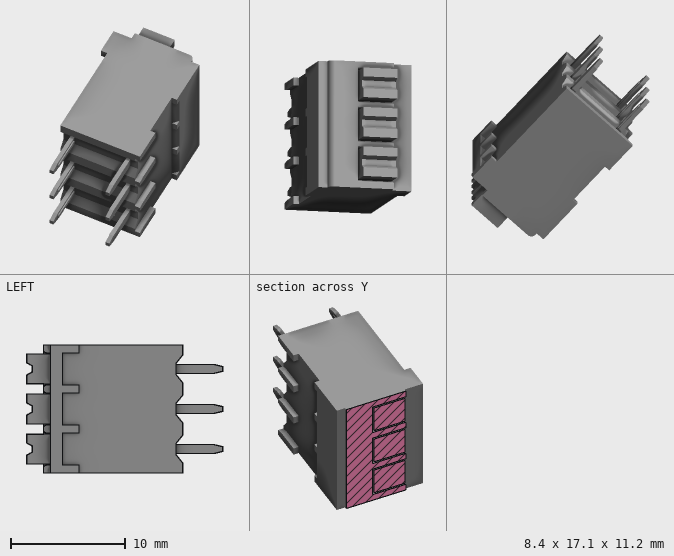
import cadquery as cq


pole_count = 3
pole_pitch = 3.5
total_height = 11.2
pole_centres = [(pole - (pole_count - 1) / 2) * pole_pitch for pole in range(pole_count)]
half_height = total_height / 2

total_length = 17.15
housing_bottom_y = 3.5
groove_floor_y = 4.08
shoulder_y = 15.04
crown_top_y = 15.68

total_width = 8.4
body_left_x = 0.62
side_recess_floor_x = 7.9

flange_bar_y = 14.01
flange_finger_y = 12.59
flange_window_width = 2.81

crown_left_x = 1.77
crown_right_x = 7.61
crown_corner_radius = 0.5

slot_width = flange_window_width
slot_edge_drop = 0.3
slot_edge_flare = 0.17
lever_left_x = 1.85
lever_right_x = 4.92
lever_clearance = lever_left_x - crown_left_x
lever_width = 2.62
lever_notch_depth = 0.48
lever_notch_mouth = 1.06
lever_notch_floor = 0.53

groove_mouth = 2.44
groove_floor = 1.0

cross_notch_start_y = 6.52
cross_notch_end_y = 10.65
channel_mouth = 3.07
channel_width = flange_window_width
lead_in_end_y = 4.18

pin_thickness = 0.38
pin_width = 0.8
pin_tip_width = 0.41
pin_taper_length = 0.79
left_pin_x = 1.53
right_pin_x = 7.0
bead_width = 0.36
bead_height = 0.1
bead_start_y = 0.8
bead_end_y = 3.96


def box(x0, x1, y0, y1, z0, z1):
    """Box between two opposite corners."""
    return cq.Workplane("XY").box(x1 - x0, y1 - y0, z1 - z0, centered=False).translate((x0, y0, z0))


def prism_along_x(points, x0, x1):
    """Straight-sided prism along X from (y, z) outline points."""
    return cq.Workplane("YZ").workplane(offset=x0).polyline(points).close().extrude(x1 - x0)


def trapezoid(y0, width0, y1, width1, z):
    """Outline in (y, z) that changes from width0 at y0 to width1 at y1."""
    return [
        (y0, z - width0 / 2),
        (y1, z - width1 / 2),
        (y1, z + width1 / 2),
        (y0, z + width0 / 2),
    ]


def make_body():
    body = box(body_left_x, total_width, housing_bottom_y, shoulder_y, -half_height, half_height)
    crown = box(crown_left_x, crown_right_x, shoulder_y, crown_top_y, -half_height, half_height)
    crown = crown.edges("|Z and >X and >Y").fillet(crown_corner_radius)
    flange = box(0, body_left_x, flange_finger_y, shoulder_y, -half_height, half_height)
    for z in pole_centres:
        half = flange_window_width / 2
        flange = flange.cut(box(0, body_left_x, flange_finger_y, flange_bar_y, z - half, z + half))
    return body.union(crown).union(flange)


def make_lever_slot(z):
    """Slot through the -X side of the crown, with its mouth flared by arcs."""
    half = slot_width / 2
    flare_start_y = crown_top_y - slot_edge_drop
    slot_right_x = lever_right_x + lever_clearance
    lower_half = (
        cq.Workplane("YZ")
        .workplane(offset=crown_left_x)
        .moveTo(shoulder_y, z - half)
        .lineTo(flare_start_y, z - half)
        .tangentArcPoint((crown_top_y, z - half - slot_edge_flare), relative=False)
        .lineTo(crown_top_y, z)
        .lineTo(shoulder_y, z)
        .close()
        .extrude(slot_right_x - crown_left_x)
    )
    return lower_half.union(lower_half.mirror("XY", (0, 0, z)))


def make_lever(z):
    half = lever_width / 2
    lever = box(lever_left_x, lever_right_x, shoulder_y, total_length, z - half, z + half)
    notch = trapezoid(total_length - lever_notch_depth, lever_notch_floor, total_length, lever_notch_mouth, z)
    return lever.cut(prism_along_x(notch, lever_left_x, lever_right_x))


def make_pin_groove(z):
    outline = trapezoid(housing_bottom_y, groove_mouth, groove_floor_y, groove_floor, z)
    return prism_along_x(outline, body_left_x, total_width)


def make_side_channel(z):
    """Channel in the +X side with a flared lead-in, which ramps out at 45 degrees past the cross notch."""
    lead_in = prism_along_x(
        trapezoid(housing_bottom_y, channel_mouth, lead_in_end_y, channel_width, z),
        side_recess_floor_x,
        total_width,
    )
    ramp_length = total_width - side_recess_floor_x
    channel = (
        cq.Workplane("XY")
        .workplane(offset=z - channel_width / 2)
        .moveTo(side_recess_floor_x, housing_bottom_y)
        .lineTo(total_width, housing_bottom_y)
        .lineTo(total_width, cross_notch_end_y + ramp_length)
        .lineTo(side_recess_floor_x, cross_notch_end_y)
        .close()
        .extrude(channel_width)
    )
    return lead_in.union(channel)


def make_pin(x, z, bead_direction):
    """Flat pin with a tapered tip and a raised bead on the face that looks toward the other pin."""
    x0 = x - pin_thickness / 2
    x1 = x + pin_thickness / 2
    half = pin_width / 2
    shank = box(x0, x1, pin_taper_length, groove_floor_y, z - half, z + half)
    tip = prism_along_x(trapezoid(0, pin_tip_width, pin_taper_length, pin_width, z), x0, x1)
    bead = (
        cq.Workplane("YZ")
        .workplane(offset=x)
        .center((bead_start_y + bead_end_y) / 2, z)
        .slot2D(bead_end_y - bead_start_y, bead_width)
        .extrude(bead_direction * (pin_thickness / 2 + bead_height))
    )
    return shank.union(tip).union(bead)


def make_cross_notch():
    """Notch across the whole row in the +X side."""
    return box(
        side_recess_floor_x, total_width, cross_notch_start_y, cross_notch_end_y, -half_height, half_height
    )


result = make_body().cut(make_cross_notch())
for z in pole_centres:
    result = result.cut(make_lever_slot(z)).cut(make_pin_groove(z)).cut(make_side_channel(z))
    result = result.union(make_lever(z))
    result = result.union(make_pin(left_pin_x, z, 1))
    result = result.union(make_pin(right_pin_x, z, -1))